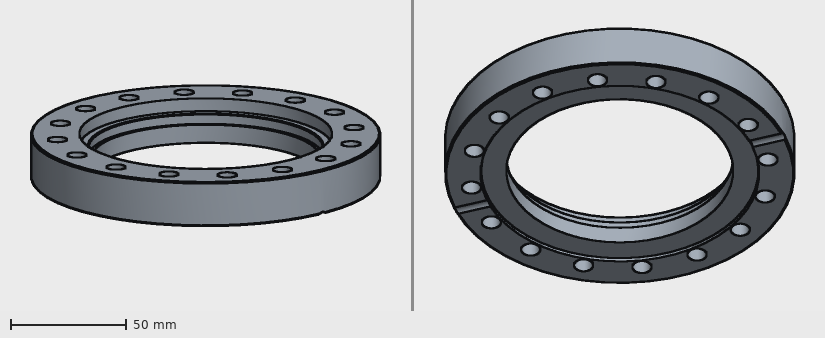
import cadquery as cq

ring_diameter = 152.0
ring_height = 20.0
ring_bore = 109.9
rim_chamfer = 0.6
collar_depth = 5.8
recess_diameter = 121.1

bolt_count = 16
bolt_hole_diameter = 8.4
bolt_circle_diameter = 130.3
bolt_start_angle = 360 / bolt_count / 2

groove_width = 4.5
groove_depth = 0.9

insert_diameter = 120.4
insert_bottom = 1.5
insert_bore = 98.6
socket_diameter = 101.8
socket_floor = 9.7
socket_chamfer = 0.38

shoulder_z = ring_height - collar_depth


def cylinder(diameter, bottom, top):
    """Cylinder on the Z axis between two heights."""
    return cq.Workplane("XY").workplane(offset=bottom).circle(diameter / 2).extrude(top - bottom)


def make_ring():
    """Bolted ring with a shouldered bore."""
    body = cylinder(ring_diameter, 0, ring_height).edges().chamfer(rim_chamfer)
    body = body.cut(cylinder(ring_bore, 0, ring_height))
    body = body.cut(cylinder(recess_diameter, 0, shoulder_z))

    bolt_holes = (
        cq.Workplane("XY")
        .polarArray(bolt_circle_diameter / 2, bolt_start_angle, 360, bolt_count)
        .circle(bolt_hole_diameter / 2)
        .extrude(ring_height)
    )
    body = body.cut(bolt_holes)

    grooves = (
        cq.Workplane("YZ")
        .moveTo(-groove_width / 2, 0)
        .threePointArc((0, groove_depth), (groove_width / 2, 0))
        .close()
        .extrude(ring_diameter / 2, both=True)
    )
    return body.cut(grooves)


def make_insert():
    """Flat ring with a chamfered socket above a narrower bore, raised clear of the bottom face."""
    body = cylinder(insert_diameter, insert_bottom, shoulder_z)
    body = body.cut(cylinder(insert_bore, insert_bottom, shoulder_z))
    body = body.cut(cylinder(socket_diameter, socket_floor, shoulder_z))
    socket_rim = cq.selectors.RadiusNthSelector(0)
    return body.faces(">Z").edges(socket_rim).chamfer(socket_chamfer)


ring = make_ring()
insert = make_insert()
result = cq.Compound.makeCompound([ring.val(), insert.val()])